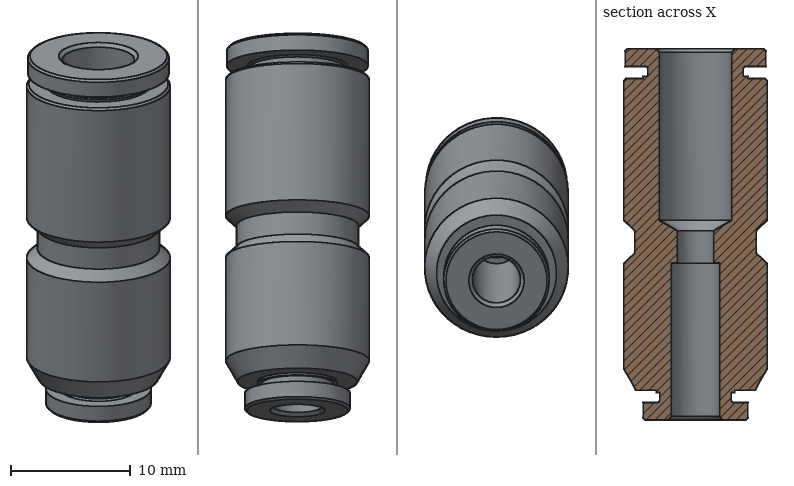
import cadquery as cq
import math

height = 31.0
body_diameter = 12.0
edge_chamfer = 0.2

collar_height = 1.5
collar_root_height = 0.15
collar_root_step = 0.15
lip_height = 0.2
upper_collar_diameter = 11.8
upper_neck_diameter = 8.0
upper_lip_diameter = 8.8
lower_collar_diameter = 8.8
lower_neck_diameter = 6.0
lower_lip_diameter = 6.6

body_bottom = 2.48
body_top = height - body_bottom
lower_taper_top = 4.25
lower_taper_diameter = 10.0
groove_center = 14.88
groove_floor_width = 1.9
groove_mouth_width = 3.55
groove_diameter = 10.2

upper_bore_diameter = 6.0
lower_bore_diameter = 4.0
through_diameter = 3.0
upper_bore_floor = 16.68
lower_bore_ceiling = 13.1
seat_cone_angle = 120
seat_height = (upper_bore_diameter - through_diameter) / 2 / math.tan(math.radians(seat_cone_angle / 2))
mouth_chamfer = 0.3


def revolve_profile(profile):
    """Revolve (diameter, z) points, closed along the Z axis."""
    bottom_z = profile[0][1]
    top_z = profile[-1][1]
    points = [(diameter / 2, z) for diameter, z in profile]
    outline = [(0, bottom_z)] + points + [(0, top_z)]
    return cq.Workplane("XZ").polyline(outline).close().revolve(360, (0, 0), (0, 1))


def collar_profile(collar_diameter, neck_diameter, lip_diameter):
    """Collar, neck and lip as (diameter, distance from the end face), starting at the end face."""
    neck_start = collar_height + collar_root_height
    lip_start = body_bottom - lip_height
    return [
        (collar_diameter - 2 * edge_chamfer, 0),
        (collar_diameter, edge_chamfer),
        (collar_diameter, collar_height),
        (neck_diameter + 2 * collar_root_step, collar_height),
        (neck_diameter, neck_start),
        (neck_diameter, lip_start),
        (lip_diameter, lip_start),
        (lip_diameter, body_bottom),
    ]


def outer_shape():
    lower_end = collar_profile(lower_collar_diameter, lower_neck_diameter, lower_lip_diameter)
    upper_end = collar_profile(upper_collar_diameter, upper_neck_diameter, upper_lip_diameter)
    body = [
        (lower_taper_diameter, body_bottom),
        (body_diameter, lower_taper_top),
        (body_diameter, groove_center - groove_mouth_width / 2),
        (groove_diameter, groove_center - groove_floor_width / 2),
        (groove_diameter, groove_center + groove_floor_width / 2),
        (body_diameter, groove_center + groove_mouth_width / 2),
        (body_diameter, body_top - edge_chamfer),
        (body_diameter - 2 * edge_chamfer, body_top),
    ]
    upper_end_rising = [(diameter, height - distance) for diameter, distance in reversed(upper_end)]
    return revolve_profile(lower_end + body + upper_end_rising)


def stepped_bore():
    return revolve_profile([
        (lower_bore_diameter + 2 * mouth_chamfer, 0),
        (lower_bore_diameter, mouth_chamfer),
        (lower_bore_diameter, lower_bore_ceiling),
        (through_diameter, lower_bore_ceiling),
        (through_diameter, upper_bore_floor - seat_height),
        (upper_bore_diameter, upper_bore_floor),
        (upper_bore_diameter, height - mouth_chamfer),
        (upper_bore_diameter + 2 * mouth_chamfer, height),
    ])


result = outer_shape().cut(stepped_bore())